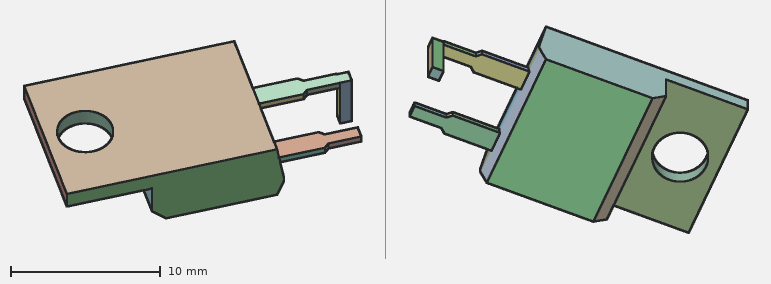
import cadquery as cq

width = 10.25
body_height = 4.46
body_front = 5.9
body_rear = 14.6
rear_bulge = 0.53
rear_radius = 0.88
front_chamfer = 0.98

tab_length = 13.78
tab_thickness = 1.25
hole_diameter = 3.75
hole_from_front = 2.75

lead_offset = 2.54
lead_top = -2.9
lead_thickness = 0.5
lead_bottom = lead_top - lead_thickness
lead_middle = (lead_top + lead_bottom) / 2
wide_lead = 1.49
narrow_lead = 0.88
taper_start = 18.45
taper_end = 18.77
lead_end = 21.07

overall_length = 21.88
overall_height = 6.91
leg_width = 0.8
leg_shift = 0.02


def make_body():
    """Side profile extruded across the full width, with the rear ridge rounded."""
    bulge_end = body_rear + rear_bulge
    profile = [
        (body_front, 0),
        (body_rear, 0),
        (bulge_end, lead_middle),
        (body_rear, -body_height),
        (body_front + front_chamfer, -body_height),
        (body_front, -body_height + front_chamfer),
    ]
    body = cq.Workplane("YZ").polyline(profile).close().extrude(width / 2, both=True)
    rear_ridge = cq.selectors.NearestToPointSelector((0, bulge_end, lead_middle))
    return body.edges(rear_ridge).fillet(rear_radius)


def make_tab():
    """Flat plate with its mounting hole."""
    plate = (
        cq.Workplane("XY")
        .box(width, tab_length, tab_thickness, centered=(True, False, False))
        .translate((0, 0, -tab_thickness))
    )
    hole = (
        cq.Workplane("XY")
        .center(0, hole_from_front)
        .circle(hole_diameter / 2)
        .extrude(-tab_thickness)
    )
    return plate.cut(hole)


def make_lead(x_center):
    """Flat lead, wide at the body and tapering to a narrow end."""
    right_side = [
        (wide_lead / 2, body_rear),
        (wide_lead / 2, taper_start),
        (narrow_lead / 2, taper_end),
        (narrow_lead / 2, lead_end),
    ]
    left_side = [(-x, y) for x, y in reversed(right_side)]
    return (
        cq.Workplane("XY", origin=(x_center, 0, lead_bottom))
        .polyline(right_side + left_side)
        .close()
        .extrude(lead_thickness)
    )


def make_leg(x_center):
    """Vertical leg hanging from the end of a lead."""
    height = overall_height + lead_top
    return (
        cq.Workplane("XY")
        .box(leg_width, overall_length - lead_end, height, centered=(True, False, False))
        .translate((x_center, lead_end, -overall_height))
    )


result = make_body().union(make_tab())
for lead_x in (-lead_offset, lead_offset):
    result = result.union(make_lead(lead_x))
result = result.union(make_leg(leg_shift - lead_offset))